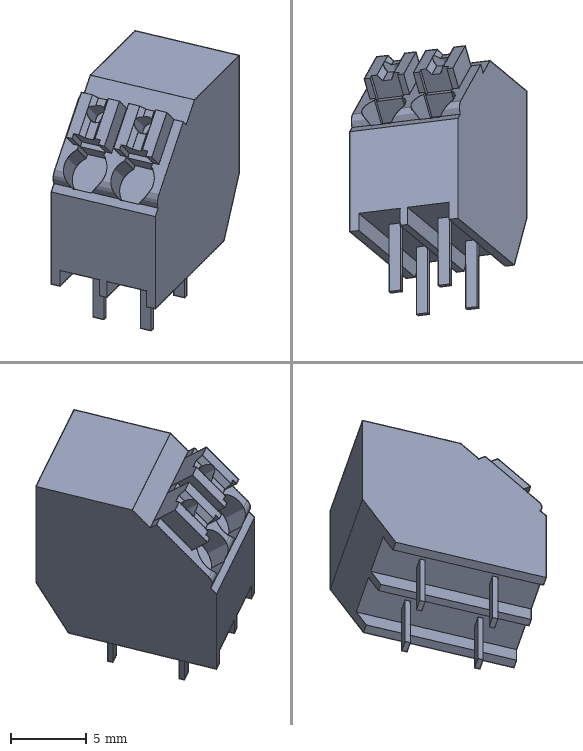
import cadquery as cq
import math


WIDTH = 7.7
DEPTH = 12.7
TOTAL_HEIGHT = 16.66
PIN_DROP = 3.5

PITCH = 3.5
POLE_CENTRES = (-PITCH / 2, PITCH / 2)

HOUSING_HEIGHT = 12.91
FRONT_HEIGHT = 7.0
BACK_CUT_RUN = 2.3
BACK_CUT_RISE = 4.0
PAD_THICKNESS = 0.62
PAD_ROUND_START = 2.02
PAD_ROUND_END = 2.77

FOOT_HEIGHT = 1.2
SIDE_FOOT_WIDTH = 0.65
MIDDLE_FOOT_WIDTH = 0.53

LEVER_WIDTH = 2.82
LEVER_LENGTH = 3.22
LEVER_RISE = 1.52
LEVER_NOTCH_WIDTH = 1.95
LEVER_NOTCH_LENGTH = 0.35
LEVER_NOTCH_BOTTOM = 0.23

GROOVE_TOP_WIDTH = 1.18
GROOVE_BOTTOM_WIDTH = 0.62
GROOVE_DEPTH = 0.47
TOOL_HOLE_RADIUS = 0.6
TOOL_HOLE_POSITION = 2.13
TOOL_HOLE_DEPTH = 1.42

WIRE_HOLE_RADIUS = 1.52
WIRE_HOLE_POSITION = 1.45
WIRE_HOLE_DEPTH = 1.88
WIRE_HOLE_LENGTH = 2.82
WIRE_HOLE_SHIFT = -0.03

PIN_WIDTH = 0.8
PIN_THICKNESS = 0.37
PIN_ROWS = (3.03, 8.06)

LEVER_END_Z = TOTAL_HEIGHT - PIN_DROP - (LEVER_LENGTH + LEVER_RISE) / math.sqrt(2)
LEVER_END_Y = LEVER_END_Z - FRONT_HEIGHT - PAD_THICKNESS * math.sqrt(2)


def slope_point(up, out):
    """(Y, Z) of a point that lies `up` the slope and `out` from the pad surface."""
    return (
        LEVER_END_Y + (up - out) / math.sqrt(2),
        LEVER_END_Z + (up + out) / math.sqrt(2),
    )


def slope_plane(x, out):
    """Plane parallel to the slope: local x is X, local y is up the slope."""
    y, z = slope_point(0, out)
    return cq.Workplane(cq.Plane(origin=(x, y, z), xDir=(1, 0, 0), normal=(0, -1, 1)))


def lever_block(x):
    """Whole lever without its notch, groove and hole; it reaches as deep as the wire holes."""
    return (
        slope_plane(x, -WIRE_HOLE_DEPTH)
        .center(0, LEVER_LENGTH / 2)
        .rect(LEVER_WIDTH, LEVER_LENGTH)
        .extrude(WIRE_HOLE_DEPTH + LEVER_RISE)
    )


def wire_hole(x):
    """Round hole, squared off against the lever and cut flat at its lower end."""
    height = WIRE_HOLE_DEPTH + LEVER_RISE
    bottom = slope_plane(x + WIRE_HOLE_SHIFT, -WIRE_HOLE_DEPTH)
    round_part = bottom.center(0, -WIRE_HOLE_POSITION).circle(WIRE_HOLE_RADIUS).extrude(height)
    square_part = (
        bottom.center(0, -WIRE_HOLE_POSITION / 2)
        .rect(LEVER_NOTCH_WIDTH, WIRE_HOLE_POSITION)
        .extrude(height)
    )
    limits = (
        bottom.center(0, -WIRE_HOLE_LENGTH / 2)
        .rect(2 * WIRE_HOLE_RADIUS, WIRE_HOLE_LENGTH)
        .extrude(height)
    )
    return round_part.union(square_part).intersect(limits)


def foot_channel(x_start, x_end):
    """Channel between two feet, open at the front and the back."""
    return (
        cq.Workplane("XY")
        .box(x_end - x_start, DEPTH, FOOT_HEIGHT, centered=False)
        .translate((x_start, 0, 0))
    )


def make_housing():
    housing = (
        cq.Workplane("YZ")
        .moveTo(0, 0)
        .lineTo(DEPTH - BACK_CUT_RUN, 0)
        .lineTo(DEPTH, BACK_CUT_RISE)
        .lineTo(DEPTH, HOUSING_HEIGHT)
        .lineTo(HOUSING_HEIGHT - FRONT_HEIGHT, HOUSING_HEIGHT)
        .lineTo(*slope_point(LEVER_LENGTH, -PAD_THICKNESS))
        .lineTo(*slope_point(LEVER_LENGTH, 0))
        .lineTo(*slope_point(-PAD_ROUND_START, 0))
        .tangentArcPoint(slope_point(-PAD_ROUND_END, -PAD_THICKNESS), relative=False)
        .lineTo(0, FRONT_HEIGHT)
        .close()
        .extrude(WIDTH / 2, both=True)
    )
    side_foot_edge = WIDTH / 2 - SIDE_FOOT_WIDTH
    middle_foot_edge = MIDDLE_FOOT_WIDTH / 2
    housing = housing.cut(foot_channel(-side_foot_edge, -middle_foot_edge))
    housing = housing.cut(foot_channel(middle_foot_edge, side_foot_edge))
    for x in POLE_CENTRES:
        housing = housing.cut(lever_block(x)).cut(wire_hole(x))
    return housing


def make_lever(x):
    notch = (
        slope_plane(x, -LEVER_NOTCH_BOTTOM)
        .center(0, LEVER_NOTCH_LENGTH / 2)
        .rect(LEVER_NOTCH_WIDTH, LEVER_NOTCH_LENGTH)
        .extrude(LEVER_NOTCH_BOTTOM + LEVER_RISE)
    )
    end_y, end_z = slope_point(0, LEVER_RISE)
    groove_end = cq.Plane(origin=(x, end_y, end_z), xDir=(1, 0, 0), normal=(0, 1, 1))
    groove = (
        cq.Workplane(groove_end)
        .moveTo(-GROOVE_TOP_WIDTH / 2, 0)
        .lineTo(-GROOVE_BOTTOM_WIDTH / 2, GROOVE_DEPTH)
        .lineTo(GROOVE_BOTTOM_WIDTH / 2, GROOVE_DEPTH)
        .lineTo(GROOVE_TOP_WIDTH / 2, 0)
        .close()
        .extrude(LEVER_LENGTH)
    )
    tool_hole = (
        slope_plane(x, LEVER_RISE)
        .center(0, TOOL_HOLE_POSITION)
        .circle(TOOL_HOLE_RADIUS)
        .extrude(-GROOVE_DEPTH - TOOL_HOLE_DEPTH)
    )
    return lever_block(x).cut(notch).cut(groove).cut(tool_hole)


def make_pin(x, y):
    """Flat pin that hangs from the roof of a foot channel."""
    length = FOOT_HEIGHT + PIN_DROP
    return (
        cq.Workplane("XY")
        .box(PIN_WIDTH, PIN_THICKNESS, length, centered=(True, True, False))
        .translate((x, y, -PIN_DROP))
    )


housing = make_housing()
levers = [make_lever(x).val() for x in POLE_CENTRES]
pins = [make_pin(x, y).val() for x in POLE_CENTRES for y in PIN_ROWS]

result = cq.Compound.makeCompound([housing.val(), *levers, *pins])